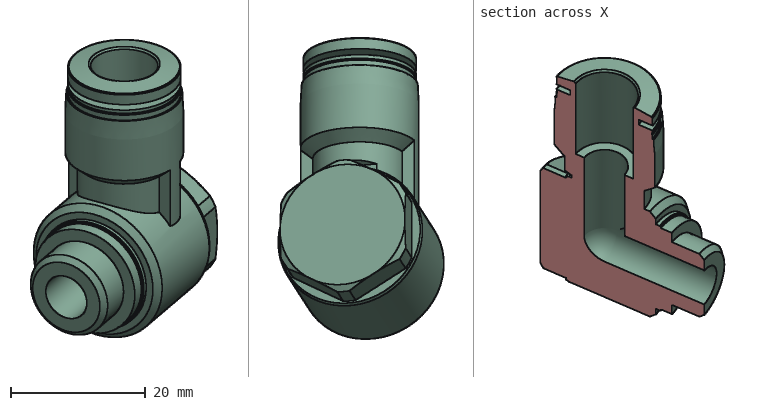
import cadquery as cq
import math

body_radius = 22.0 / 2
body_back_y = 6.7
body_front_y = -8.95
front_chamfer = 1.0
back_chamfer_radial = 0.2
back_chamfer_length = 0.55
collar_radius = 17.7 / 2
collar_front_y = -9.85
collar_edge_radial = 0.1
collar_edge_length = 0.2
seal_radius = 17.0 / 2
seal_front_y = -11.77
thread_radius = 13.15 / 2
thread_end_y = -17.4
thread_chamfer = 0.85
port_bore_radius = 7.0 / 2

hex_across_flats = 19.0
hex_corner_radius = 10.45
hex_back_y = 11.23
hex_chamfer_radial = 0.93
hex_chamfer_length = hex_chamfer_radial * math.tan(math.radians(30))

neck_radius = 6.95
shoulder_bottom_z = 14.7
shoulder_top_z = 16.3
sleeve_radius = 17.6 / 2
sleeve_taper_z = 23.25
sleeve_top_radius = 8.65
sleeve_top_z = 26.3
ring_radius = 16.8 / 2
groove_z = 27.3
groove_width = 0.25
groove_depth = 0.1
ring_top_z = 28.0
stem_radius = 12.0 / 2
button_bottom_z = 28.95
button_edge_z = 30.6
button_edge_chamfer = 0.15
tower_top_z = 42.2 - body_radius
tube_bore_radius = 10.0 / 2
tube_bore_bottom_z = shoulder_top_z
mouth_chamfer = 0.3

relief_y = 5.75
relief_inner_z = 11.35
relief_outer_z = 11.8

rib_width = 3.0
rib_bottom_z = 6.35


def revolve_about_y(points):
    """Solid of revolution from (radius, y) points."""
    return cq.Workplane("XY").polyline(points).close().revolve(360, (0, 0), (0, 1))


def revolve_about_z(points):
    """Solid of revolution from (radius, z) points."""
    return cq.Workplane("XZ").polyline(points).close().revolve(360, (0, 0), (0, 1))


def make_body():
    return revolve_about_y([
        (0, body_back_y),
        (body_radius - back_chamfer_radial, body_back_y),
        (body_radius, body_back_y - back_chamfer_length),
        (body_radius, body_front_y + front_chamfer),
        (body_radius - front_chamfer, body_front_y),
        (collar_radius, body_front_y),
        (collar_radius, collar_front_y + collar_edge_length),
        (collar_radius - collar_edge_radial, collar_front_y),
        (seal_radius, collar_front_y),
        (seal_radius, seal_front_y),
        (thread_radius, seal_front_y),
        (thread_radius, thread_end_y + thread_chamfer),
        (thread_radius - thread_chamfer, thread_end_y),
        (0, thread_end_y),
    ])


def make_bolt_head():
    """Hexagon with flats facing +/-X, rounded corners and a chamfered back rim."""
    across_corners = hex_across_flats / math.cos(math.radians(30))
    length = hex_back_y - body_front_y
    prism = (
        cq.Workplane("XZ", origin=(0, hex_back_y, 0))
        .transformed(rotate=(0, 0, 90))
        .polygon(6, across_corners)
        .extrude(length)
    )
    envelope = revolve_about_y([
        (0, 0),
        (hex_corner_radius, 0),
        (hex_corner_radius, hex_back_y - hex_chamfer_length),
        (hex_corner_radius - hex_chamfer_radial, hex_back_y),
        (0, hex_back_y),
    ])
    return prism.intersect(envelope)


def make_tower():
    tower = revolve_about_z([
        (0, 0),
        (neck_radius, 0),
        (neck_radius, shoulder_bottom_z),
        (sleeve_radius, shoulder_top_z),
        (sleeve_radius, sleeve_taper_z),
        (sleeve_top_radius, sleeve_top_z),
        (ring_radius, sleeve_top_z),
        (ring_radius, groove_z - groove_width / 2),
        (ring_radius - groove_depth, groove_z - groove_width / 2),
        (ring_radius - groove_depth, groove_z + groove_width / 2),
        (ring_radius, groove_z + groove_width / 2),
        (ring_radius, ring_top_z),
        (stem_radius, ring_top_z),
        (stem_radius, button_bottom_z),
        (ring_radius, button_bottom_z),
        (ring_radius, button_edge_z),
        (ring_radius - button_edge_chamfer, button_edge_z + button_edge_chamfer),
        (tube_bore_radius + mouth_chamfer, tower_top_z),
        (0, tower_top_z),
    ])
    relief = (
        cq.Workplane("YZ")
        .polyline([
            (relief_y, 0),
            (relief_y, relief_inner_z),
            (neck_radius, relief_outer_z),
            (neck_radius, 0),
        ])
        .close()
        .extrude(neck_radius, both=True)
    )
    return tower.cut(relief)


def make_ribs():
    """Ribs whose outer faces continue the cylinder of the sleeve down into the body."""
    height = shoulder_top_z - rib_bottom_z
    start = cq.Workplane("XY", origin=(0, 0, rib_bottom_z))
    bar = start.rect(2 * body_radius, rib_width).extrude(height)
    sleeve_cylinder = start.circle(sleeve_radius).extrude(height)
    return bar.intersect(sleeve_cylinder)


def make_passage():
    """Elbow bore: two equal drillings joined by a ball, with a wider tube socket."""
    port = cq.Workplane("XZ").circle(port_bore_radius).extrude(-thread_end_y)
    riser = cq.Workplane("XY").circle(port_bore_radius).extrude(tower_top_z)
    ball = cq.Workplane("XY").sphere(port_bore_radius)
    socket = revolve_about_z([
        (0, tube_bore_bottom_z),
        (tube_bore_radius, tube_bore_bottom_z),
        (tube_bore_radius, tower_top_z - mouth_chamfer),
        (tube_bore_radius + mouth_chamfer, tower_top_z),
        (0, tower_top_z),
    ])
    return port.union(riser).union(ball).union(socket)


result = (
    make_body()
    .union(make_bolt_head())
    .union(make_tower())
    .union(make_ribs())
    .cut(make_passage())
    .clean()
)